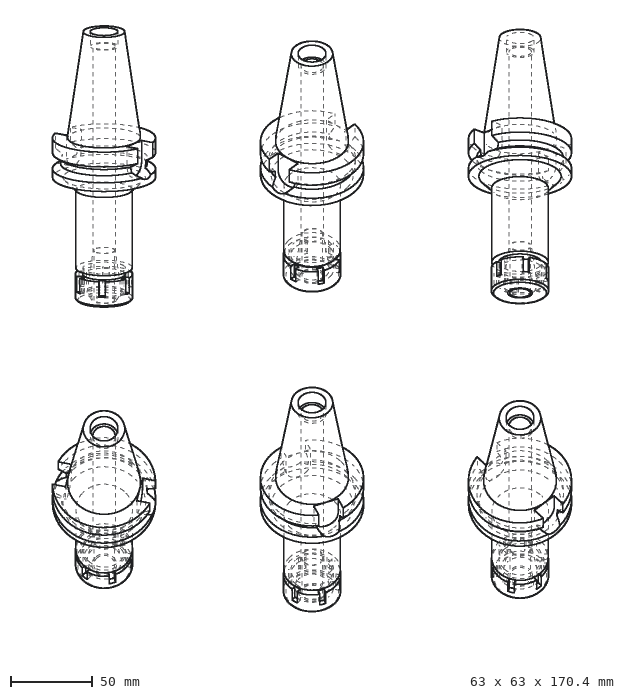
import cadquery as cq
import math


total_length = 170.4

taper_length = 65.5
gauge_radius = 44.5 / 2
taper_ratio = 7 / 24
taper_top_radius = gauge_radius - taper_length * taper_ratio / 2
gauge_z = total_length - taper_length

flange_radius = 63.0 / 2
gauge_collar_height = 2.0
flange_height = 25.0
flange_top = gauge_z - gauge_collar_height
flange_bottom = flange_top - flange_height
groove_radius = 53.0 / 2
groove_depth_below_top = 14.5
groove_z = flange_top - groove_depth_below_top
groove_outer_width = 10.0
groove_floor_width = 4.0

drive_slot_width = 16.0
drive_slot_length = 21.1
drive_slot_floor = 22.3

shank_radius = 34.6 / 2
shank_bottom = 20.3
shoulder_radius = 50.3 / 2
shoulder_bottom = flange_bottom - (shoulder_radius - shank_radius)
spigot_radius = 26.0 / 2
spigot_bottom = 5.1

drawbar_bore_radius = 17.0 / 2
drawbar_bore_depth = 9.2
through_bore_radius = 13.6 / 2

collet_length = 31.5
collet_bore_radius = 12.8 / 2
collet_max_radius = 21.0 / 2
collet_seat_angle = 8
collet_nose_angle = 30
collet_seat_length = collet_length - spigot_bottom
collet_top_radius = collet_max_radius - collet_seat_length * math.tan(math.radians(collet_seat_angle))
collet_nose_radius = collet_max_radius - spigot_bottom * math.tan(math.radians(collet_nose_angle))

nut_radius = 35.1 / 2
nut_top = 16.4
nut_chamfer = 1.4
wrench_slot_count = 6
wrench_slot_width = 4.0
wrench_slot_floor = 14.5
wrench_slot_bottom = 6.6


def turned(profile):
    """Solid of revolution about Z from (radius, height) points."""
    return cq.Workplane("XZ").polyline(profile).close().revolve(360, (0, 0, 0), (0, 1, 0))


def collet_envelope():
    """Outside of the collet: a long seat cone above a short nose cone."""
    return turned([
        (0, 0),
        (collet_nose_radius, 0),
        (collet_max_radius, spigot_bottom),
        (collet_top_radius, collet_length),
        (0, collet_length),
    ])


def holder_blank():
    """Turned outside of the holder, from spigot to taper."""
    return turned([
        (0, spigot_bottom),
        (spigot_radius, spigot_bottom),
        (spigot_radius, shank_bottom),
        (shank_radius, shank_bottom),
        (shank_radius, shoulder_bottom),
        (shoulder_radius, flange_bottom),
        (flange_radius, flange_bottom),
        (flange_radius, groove_z - groove_outer_width / 2),
        (groove_radius, groove_z - groove_floor_width / 2),
        (groove_radius, groove_z + groove_floor_width / 2),
        (flange_radius, groove_z + groove_outer_width / 2),
        (flange_radius, flange_top),
        (gauge_radius, flange_top),
        (gauge_radius, gauge_z),
        (taper_top_radius, total_length),
        (0, total_length),
    ])


def holder_bore():
    """Drawbar bore stepping down to the through bore above the collet."""
    drawbar_bore_bottom = total_length - drawbar_bore_depth
    return turned([
        (0, collet_length),
        (through_bore_radius, collet_length),
        (through_bore_radius, drawbar_bore_bottom),
        (drawbar_bore_radius, drawbar_bore_bottom),
        (drawbar_bore_radius, total_length),
        (0, total_length),
    ])


def drive_slot():
    """Cutter for the +X drive slot: flat floor, open top, round lower end."""
    half_width = drive_slot_width / 2
    arc_center_z = flange_top - drive_slot_length + half_width
    return (
        cq.Workplane("YZ", origin=(drive_slot_floor, 0, 0))
        .moveTo(-half_width, flange_top)
        .lineTo(-half_width, arc_center_z)
        .threePointArc((0, arc_center_z - half_width), (half_width, arc_center_z))
        .lineTo(half_width, flange_top)
        .close()
        .extrude(flange_radius)
    )


def make_holder():
    holder = holder_blank().cut(holder_bore()).cut(collet_envelope())
    for angle in (0, 180):
        holder = holder.cut(drive_slot().rotate((0, 0, 0), (0, 0, 1), angle))
    return holder


def make_collet():
    bore = cq.Workplane("XY").circle(collet_bore_radius).extrude(collet_length)
    return collet_envelope().cut(bore)


def wrench_slot():
    """Cutter for the +X wrench slot, open at the top of the nut."""
    return cq.Workplane("XY", origin=(wrench_slot_floor, 0, wrench_slot_bottom)).box(
        nut_radius, wrench_slot_width, nut_top, centered=(False, True, False)
    )


def make_nut():
    nut = cq.Workplane("XY").circle(nut_radius).extrude(nut_top).faces("<Z").chamfer(nut_chamfer)
    thread_bore = cq.Workplane("XY", origin=(0, 0, spigot_bottom)).circle(spigot_radius).extrude(nut_top)
    nut = nut.cut(thread_bore).cut(collet_envelope())
    for index in range(wrench_slot_count):
        angle = index * 360 / wrench_slot_count
        nut = nut.cut(wrench_slot().rotate((0, 0, 0), (0, 0, 1), angle))
    return nut


holder = make_holder()
collet = make_collet()
nut = make_nut()

result = cq.Compound.makeCompound([holder.val(), collet.val(), nut.val()])